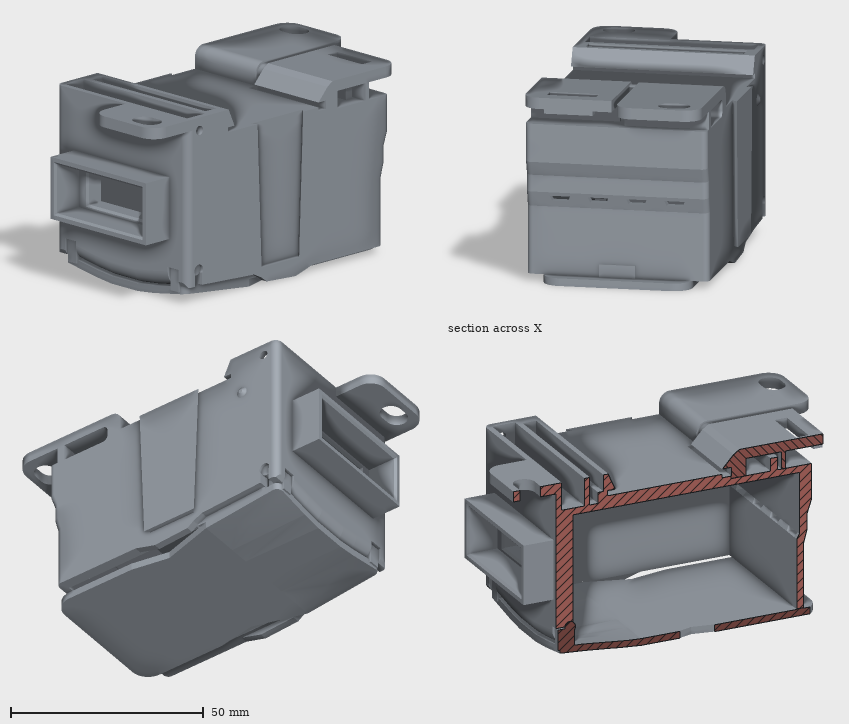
import cadquery as cq
width = 48.3
length = 96.6
height = 50.0
middle_x = width / 2

front_y = 12.3
side_wall = 3.0
skirt_wall = 2.0
front_wall = 5.0
skirt_front_y, skirt_rear_y = 39.3, 58.0
front_corner_radius = 2.0
rear_corner_radius = 1.5
body_top_z = 44.0
rear_floor_z = 42.3
cavity_top_z = 40.3
rear_wall_y = 62.8
rear_y_low, rear_y_mid, rear_y_high = 83.6, 84.6, 85.9
rear_levels_z = (20.1, 24.1, 28.5, 32.2)
inner_rear_low_y, inner_rear_high_y = 81.5, 82.3
vent_low_z, vent_high_z = 21.7, 23.1

tab_thickness = 3.0
tab_bottom_z = height - tab_thickness
tab_radius = 4.49
slot_diameter = 6.0
slot_length = 8.4
slot_from_side = 7.4
slot_from_end = 4.9
rear_tab_width = 22.4
front_tab_width = 22.7

hook_tip_y, hook_tip_z = 29.5, 45.3
hook_root_y = 27.1
hook_top_y = 27.3
deep_pocket = (1.7, 13.9, 20.5)
hook_pocket = (3.2, 22.0, 25.9)
hook_pocket_ledge_y = 24.3
ledge_z = 45.4
cross_hole_diameter, cross_hole_y, cross_hole_z = 2.5, 16.7, 46.6

bracket_leg_y = 67.0
bracket_round = 3.0
post_front_y, post_rear_y = 80.9, 83.2
window_radius = 1.5

clip_side_x = 24.6
clip_rear_y = 89.3
clip_tip_y = 60.1
clip_recess_z = 43.0

dovetail_bottom_z = 5.0
dovetail_y = 46.2
dovetail_half_top, dovetail_half_bottom = 9.5, 8.0
dovetail_undercut = 1.2
tongue_depth, groove_depth = 1.4, 1.5

frame_width, frame_height, frame_front_y = 35.1, 16.7, 3.7
frame_z = 25.2
frame_wall = 1.7
opening_width, opening_height = 25.4, 10.7
rim_chamfer = 0.6

cover_thickness = 2.0
cover_front_y, cover_bend_y = 13.3, 36.7
cover_rear_y = 87.7
cover_corner_radius = 5.0
cover_front_radius = 1.9
cover_rear_x, cover_wide_y = 4.4, 62.6
cover_waist_x, cover_waist_y = 6.4, 51.8
cover_edge_rise, cover_knee_rise = 2.6, 0.7
cover_knee_x, cover_flat_x = 13.4, 19.3
grip_radius = 4.2
skirt_top_z = 11.6
pivot_y, pivot_z, pivot_diameter = 16.4, 8.9, 3.1
pivot_end_x = 1.0
arm_start_x, arm_width, arm_top_z = 3.8, 3.0, 8.8
arm_front_y, arm_rear_y = 12.8, 17.7
arm_clearance = 0.5


def box(x0, x1, y0, y1, z0, z1):
    """A box given by its limits along each axis."""
    return cq.Workplane("XY").box(x1 - x0, y1 - y0, z1 - z0, centered=False).translate((x0, y0, z0))


def side_profile(points, x0, x1):
    """A (y, z) polygon extruded from x0 to x1."""
    return cq.Workplane("YZ").polyline(points).close().extrude(x1 - x0).translate((x0, 0, 0))


def cross_cylinder(diameter, y, z, x0, x1):
    """A cylinder along X."""
    return cq.Workplane("YZ").center(y, z).circle(diameter / 2).extrude(x1 - x0).translate((x0, 0, 0))


def mounting_slot(x, y):
    """A cutter for one long screw slot in a tab."""
    return (
        cq.Workplane("XY", origin=(x, y, tab_bottom_z))
        .slot2D(slot_length, slot_diameter)
        .extrude(tab_thickness)
    )


def mirrored(shape):
    """The shape reflected to the other side of the middle plane."""
    return shape.mirror("YZ", (middle_x, 0, 0))


def bow_stations():
    """(x, rise) points across the front edge of the cover, which bows down toward the middle."""
    left = [(skirt_wall, cover_edge_rise), (cover_knee_x, cover_knee_rise), (cover_flat_x, 0)]
    return left + [(width - x, rise) for x, rise in reversed(left)]


def housing_block():
    low_z, mid_low_z, mid_high_z, high_z = rear_levels_z
    rear_face = [
        (rear_y_high, rear_floor_z),
        (rear_y_high, high_z),
        (rear_y_mid, mid_high_z),
        (rear_y_mid, mid_low_z),
        (rear_y_low, low_z),
        (rear_y_low, cover_thickness),
    ]
    lower_edge = [
        (skirt_rear_y, cover_thickness),
        (cover_waist_y, 0.2),
        (41.2, 0.9),
        (skirt_front_y, 2.3),
        (36.6, 3.7),
        (18.4, 4.7),
        (13.0, 4.7),
        (front_y, 6.0),
    ]
    upper_edge = [
        (front_y, height),
        (hook_top_y, height),
        (hook_tip_y, hook_tip_z),
        (hook_root_y, hook_tip_z),
        (hook_root_y, body_top_z),
        (rear_wall_y, body_top_z),
        (rear_wall_y, rear_floor_z),
    ]
    block = side_profile(rear_face + lower_edge + upper_edge, 0, width)
    rear_edges = cq.selectors.BoxSelector(
        (-1, rear_y_low - 1, cover_thickness + 1), (width + 1, rear_y_high + 1, rear_floor_z - 1)
    )
    front_edges = cq.selectors.BoxSelector((-1, front_y - 1, 19.3), (width + 1, front_y + 1, 38.6))
    block = block.edges(rear_edges).edges("not #Z").edges("not |X").fillet(rear_corner_radius)
    return block.edges(front_edges).edges("|Z").fillet(front_corner_radius)


def front_skirt():
    """The front wall between the cover arms, carried down to the bowed cover and rounded below."""
    margin = arm_start_x + arm_width + arm_clearance
    lower_edge = [(x, cover_thickness + rise) for x, rise in bow_stations()]
    upper_edge = [(width - skirt_wall, skirt_top_z), (skirt_wall, skirt_top_z)]
    skirt = cq.Workplane("XZ", origin=(0, front_y + front_wall, 0)).polyline(lower_edge + upper_edge).close()
    skirt = skirt.extrude(front_wall)
    outer_edges = cq.selectors.BoxSelector((0, front_y - 0.1, 0), (width, front_y + 0.1, skirt_top_z - 1))
    skirt = skirt.edges(outer_edges).edges("not |Z").fillet(grip_radius)
    return skirt.intersect(box(margin, width - margin, front_y, front_y + front_wall, 0, skirt_top_z))


def side_lip():
    """The inner part of the left side wall, carried down to the front half of the cover."""
    lip_top_z = 5.8
    lip = box(skirt_wall, side_wall, front_y + front_wall, skirt_front_y, cover_thickness, lip_top_z)
    return lip.cut(bowed_plate(-cover_thickness, cover_thickness))


def cavity():
    outline = [
        (front_y + front_wall, -1),
        (inner_rear_low_y, -1),
        (inner_rear_low_y, vent_low_z),
        (inner_rear_high_y, vent_high_z),
        (inner_rear_high_y, cavity_top_z),
        (front_y + front_wall, cavity_top_z),
    ]
    return side_profile(outline, side_wall, width - side_wall)


def rear_vents():
    """A row of trapezoid openings through the rear wall."""
    pitch, count = 10.1, 4
    half_top, half_bottom = 2.7, 2.1
    vents = cq.Workplane("XZ", origin=(0, rear_y_high, 0))
    for index in range(count):
        x = middle_x + (index - (count - 1) / 2) * pitch
        vents = vents.polyline([
            (x - half_top, vent_high_z),
            (x + half_top, vent_high_z),
            (x + half_bottom, vent_low_z),
            (x - half_bottom, vent_low_z),
        ]).close()
    return vents.extrude(rear_y_high - inner_rear_low_y)


def window_frame():
    frame = cq.Workplane("XZ", origin=(middle_x, front_y, frame_z)).rect(frame_width, frame_height)
    return frame.extrude(front_y - frame_front_y)


def tapered_opening(y, opening_x, opening_z, depth):
    """A rectangular opening running inward from y, with a chamfered mouth."""
    cutter = cq.Workplane("XZ", origin=(middle_x, y + depth, frame_z)).rect(opening_x, opening_z)
    cutter = cutter.extrude(depth)
    mouth = cq.Workplane("XZ", origin=(middle_x, y, frame_z))
    mouth = mouth.rect(opening_x + 2 * rim_chamfer, opening_z + 2 * rim_chamfer)
    mouth = mouth.workplane(offset=-rim_chamfer).rect(opening_x, opening_z).loft(ruled=True)
    return cutter.union(mouth)


def front_tab():
    tab = box(width - front_tab_width, width, 0, cross_hole_y, tab_bottom_z, height)
    tab = tab.edges("|Z and <Y").fillet(tab_radius)
    return tab


def rear_bracket():
    bracket = box(0, rear_tab_width, rear_wall_y, length, tab_bottom_z, height)
    bracket = bracket.edges("|Z and >Y").fillet(tab_radius)
    web = box(0, rear_tab_width, rear_wall_y, post_rear_y, rear_floor_z, tab_bottom_z)
    window = box(0, rear_tab_width, bracket_leg_y, post_front_y, rear_floor_z, tab_bottom_z)
    window = window.edges("|X and <Y").fillet(window_radius)
    bracket = bracket.union(web).edges("|X and >Z and <Y").fillet(bracket_round)
    return bracket.cut(window)


def bracket_rib():
    """The lower rounded rib beside the bracket, in the gap next to the clip."""
    rib_inset = 0.6
    rib = box(rear_tab_width, clip_side_x, rear_wall_y + rib_inset, bracket_leg_y, rear_floor_z, height - rib_inset)
    return rib.edges("|X and >Z and <Y").fillet(bracket_round - rib_inset)


def clip_stop():
    return box(22.7, 44.4, 74.0, 76.1, rear_floor_z, 45.9)


def dovetail(depth):
    """A tapered dovetail, widest at its outer face; it starts at x = 0 and grows toward -X."""
    def section(z, half_outer):
        half_inner = half_outer - dovetail_undercut
        return cq.Wire.makePolygon([
            cq.Vector(0, dovetail_y - half_inner, z),
            cq.Vector(-depth, dovetail_y - half_outer, z),
            cq.Vector(-depth, dovetail_y + half_outer, z),
            cq.Vector(0, dovetail_y + half_inner, z),
        ], close=True)

    low = section(dovetail_bottom_z, dovetail_half_bottom)
    high = section(body_top_z, dovetail_half_top)
    return cq.Workplane(cq.Solid.makeLoft([low, high], True))


def side_knob():
    """A small locating cone on the left side."""
    knob_y, knob_z, knob_height = 23.7, 37.5, 0.7
    base_radius, tip_radius = 1.5, 0.6
    cone = cq.Solid.makeCone(
        base_radius, tip_radius, knob_height, cq.Vector(0, knob_y, knob_z), cq.Vector(-1, 0, 0)
    )
    return cq.Workplane(cone)


def top_pockets():
    margin, y0, y1 = deep_pocket
    pockets = box(margin, width - margin, y0, y1, rear_floor_z, height)
    margin, y0, y1 = hook_pocket
    pockets = pockets.union(box(margin, width - margin, y0, y1, ledge_z, height))
    return pockets.union(box(margin, width - margin, y0, hook_pocket_ledge_y, rear_floor_z, ledge_z))


def pivot_seat():
    """The notch for the left cover arm and the keyhole for its pivot."""
    arm_end_x = arm_start_x + arm_width
    notch = box(arm_start_x - arm_clearance, arm_end_x + arm_clearance, front_y, 18.3, 0, 9.2)
    keyhole = cross_cylinder(pivot_diameter, pivot_y, pivot_z, 0, arm_end_x + arm_clearance)
    snap_slot = box(0, arm_start_x, 15.1, arm_rear_y, 0, pivot_z)
    return notch.union(keyhole).union(snap_slot)


def make_housing():
    housing = housing_block().cut(cavity()).cut(rear_vents())
    housing = housing.cut(bowed_plate(-4.8, cover_thickness))
    housing = housing.cut(box(skirt_wall, width - skirt_wall, cover_bend_y, skirt_rear_y, 0, cover_thickness))
    margin = arm_start_x + arm_width + arm_clearance
    housing = housing.cut(box(margin, width - margin, front_y, front_y + front_wall, 0, skirt_top_z))
    housing = housing.union(front_skirt()).union(side_lip()).union(mirrored(side_lip()))
    housing = housing.union(window_frame())
    inner_width = frame_width - 2 * frame_wall
    inner_height = frame_height - 2 * frame_wall
    housing = housing.cut(tapered_opening(frame_front_y, inner_width, inner_height, front_y - frame_front_y))
    housing = housing.cut(tapered_opening(front_y, opening_width, opening_height, front_wall))
    housing = housing.union(front_tab()).cut(top_pockets())
    housing = housing.union(rear_bracket()).union(bracket_rib()).union(clip_stop())
    housing = housing.cut(mounting_slot(slot_from_side, length - slot_from_end))
    housing = housing.cut(mounting_slot(width - slot_from_side, slot_from_end))
    housing = housing.cut(cross_cylinder(cross_hole_diameter, cross_hole_y, cross_hole_z, 0, width))
    housing = housing.cut(box(rear_tab_width, width, clip_tip_y, rear_wall_y, clip_recess_z, body_top_z))
    housing = housing.union(dovetail(tongue_depth)).union(side_knob())
    housing = housing.cut(dovetail(groove_depth).translate((width, 0, 0)))
    return housing.cut(pivot_seat()).cut(mirrored(pivot_seat()))


def make_clip():
    profile = [
        (clip_rear_y, height),
        (65.1, height),
        (63.4, 48.9),
        (clip_tip_y, hook_tip_z),
        (rear_wall_y, hook_tip_z),
        (rear_wall_y, rear_floor_z),
        (bracket_leg_y, rear_floor_z),
        (bracket_leg_y, tab_bottom_z),
        (clip_rear_y, tab_bottom_z),
    ]
    clip = side_profile(profile, clip_side_x, width)
    clip = clip.edges("|Z and >X and >Y").fillet(tab_radius)
    spring_rib = box(clip_side_x, width, 77.2, 78.4, rear_floor_z, tab_bottom_z)
    pull_lip = box(29.6, 42.5, 86.65, clip_rear_y, 45.9, tab_bottom_z)
    tool_slot = box(29.6, 42.5, 81.7, 85.3, tab_bottom_z, height)
    return clip.union(spring_rib).union(pull_lip).cut(tool_slot)


def bowed_plate(bottom, top):
    """A plate that is flat at the bend and bowed downward at the front edge.

    bottom and top are heights above the underside of the cover.
    """
    def section(y, bow):
        lower = [cq.Vector(x, y, bottom + bow * rise) for x, rise in bow_stations()]
        upper = [cq.Vector(x, y, top + bow * rise) for x, rise in bow_stations()]
        return cq.Wire.makePolygon(lower + upper[::-1], close=True)

    return cq.Workplane(cq.Solid.makeLoft([section(cover_front_y, 1), section(cover_bend_y, 0)], True))


def cover_arm():
    """The left hinge arm with its pivot."""
    arm_end_x = arm_start_x + arm_width
    arm = box(arm_start_x, arm_end_x, arm_front_y, arm_rear_y, 2.9, arm_top_z)
    return arm.union(cross_cylinder(pivot_diameter, pivot_y, pivot_z, pivot_end_x, arm_end_x))


def make_cover():
    corner_trim = box(skirt_wall, width - skirt_wall, cover_front_y, cover_bend_y, -1, height)
    corner_trim = corner_trim.edges("|Z and <Y").fillet(cover_front_radius)
    bowed_front = bowed_plate(0, cover_thickness).intersect(corner_trim)
    outline = [
        (skirt_wall, cover_bend_y),
        (cover_waist_x, cover_waist_y),
        (cover_rear_x, cover_wide_y),
        (cover_rear_x, cover_rear_y),
        (width - cover_rear_x, cover_rear_y),
        (width - cover_rear_x, cover_wide_y),
        (width - cover_waist_x, cover_waist_y),
        (width - skirt_wall, cover_bend_y),
    ]
    plate = cq.Workplane("XY").polyline(outline).close().extrude(cover_thickness)
    plate = plate.edges("|Z and >Y").fillet(cover_corner_radius)
    latch = box(19.3, 29, rear_y_low, 84.1, cover_thickness, 5.4)
    cover = plate.union(bowed_front).union(latch)
    return cover.union(cover_arm()).union(mirrored(cover_arm()))


housing = make_housing()
clip = make_clip()
cover = make_cover()

result = cq.Compound.makeCompound([housing.val(), clip.val(), cover.val()])